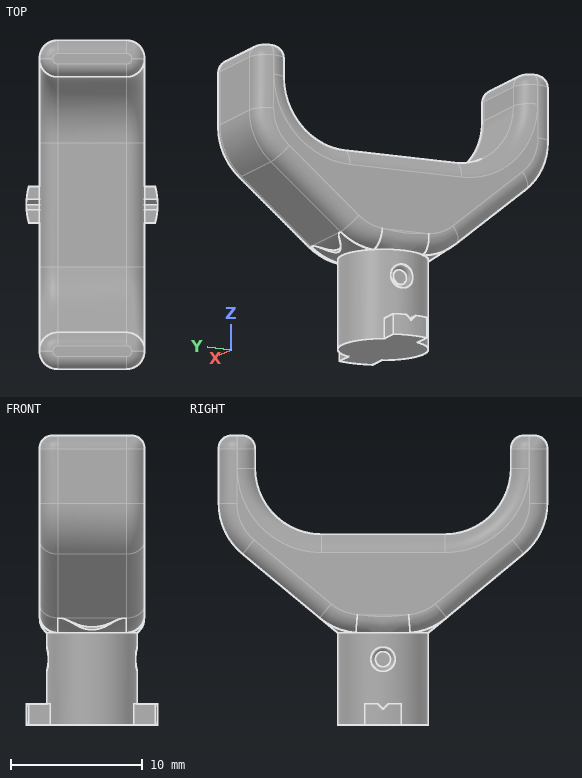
import cadquery as cq
import math

fork_span = 25.0
fork_width = 8.0
arm_thickness = 2.8
bend_radius = 5.0
cradle_floor_z = 14.5
total_height = 22.0
tip_round = 1.0
edge_round = arm_thickness / 2 - 0.012

stem_radius = 6.9 / 2
stem_height = 7.0

lug_reach = 5.0
lug_width = 2.8
lug_height = 1.6
notch_width = 0.8
notch_depth = 0.4

dimple_z = 5.0
dimple_radius = 0.58
dimple_round = 0.35
dimple_depth = 0.5
rim_sag = stem_radius - math.sqrt(stem_radius**2 - (dimple_radius + dimple_round) ** 2)

side_blend_half_length = 1.95
blend_steps = 4
blend_slices = 6
blend_top_z = 10.5


def make_fork_blank():
    """Fork with its bends, before its outer edges are rounded."""
    half_span = fork_span / 2
    inner_half_span = half_span - arm_thickness
    blank = (
        cq.Workplane("YZ")
        .polyline([
            (-stem_radius, stem_height),
            (stem_radius, stem_height),
            (half_span, cradle_floor_z),
            (half_span, total_height),
            (inner_half_span, total_height),
            (inner_half_span, cradle_floor_z),
            (-inner_half_span, cradle_floor_z),
            (-inner_half_span, total_height),
            (-half_span, total_height),
            (-half_span, cradle_floor_z),
        ])
        .close()
        .extrude(fork_width / 2, both=True)
    )
    above_base = stem_height + 0.25
    below_tips = total_height - 0.25
    bends = cq.selectors.BoxSelector(
        (-fork_width, -fork_span, above_base), (fork_width, fork_span, below_tips)
    )
    blank = blank.edges("|X").edges(bends).fillet(bend_radius)
    return blank.faces("<Z").edges("|X").fillet(bend_radius)


def make_fork():
    fork = make_fork_blank().faces("<X or >X").edges("not >Z").fillet(edge_round)
    return fork.faces(">Z").edges().fillet(tip_round)


def side_blend(side):
    """Tube following the edge round where it is pulled down to meet the rim of the stem.

    Its centre stays one edge round inside the side face and one edge round from the stem rim.
    """
    center_x = fork_width / 2 - edge_round
    points = []
    for step in range(-blend_steps, blend_steps + 1):
        y = side_blend_half_length * step / blend_steps
        rim_gap = stem_radius - math.hypot(center_x, y)
        points.append((side * center_x, y, stem_height + math.sqrt(edge_round**2 - rim_gap**2)))
    path = cq.Workplane("XY").spline(points)
    start = cq.Plane(origin=points[0], xDir=(1, 0, 0), normal=path.val().tangentAt(0))
    return cq.Workplane(start).circle(edge_round).sweep(path)


def slope_section(x):
    """Slice at x: an arc from the stem rim that runs tangent into the sloping underside."""
    rise = cradle_floor_z - stem_height
    slope = math.atan2(rise, fork_span / 2 - stem_radius)
    rim_y = math.sqrt(stem_radius**2 - x**2)
    setback = stem_radius - rim_y
    tangent_length = -setback * math.cos(slope) + math.sqrt(
        2 * bend_radius * setback * math.sin(slope) - (setback * math.sin(slope)) ** 2
    )
    tangent_y = stem_radius + tangent_length * math.cos(slope)
    tangent_z = stem_height + tangent_length * math.sin(slope)
    center_y = tangent_y - bend_radius * math.sin(slope)
    center_z = tangent_z + bend_radius * math.cos(slope)
    middle_angle = (slope + math.asin((rim_y - center_y) / bend_radius)) / 2
    middle = (
        center_y + bend_radius * math.sin(middle_angle),
        center_z - bend_radius * math.cos(middle_angle),
    )
    return (
        cq.Workplane("YZ", origin=(x, 0, 0))
        .moveTo(0, stem_height)
        .lineTo(rim_y, stem_height)
        .threePointArc(middle, (tangent_y, tangent_z))
        .lineTo(tangent_y, blend_top_z)
        .lineTo(0, blend_top_z)
        .close()
        .val()
    )


def slope_blend():
    """Blend from the stem rim into the slope on the +Y side."""
    half_width = fork_width / 2 - edge_round
    sections = []
    for index in range(blend_slices):
        x = half_width * (2 * index / (blend_slices - 1) - 1)
        sections.append(slope_section(x))
    return cq.Workplane(cq.Solid.makeLoft(sections))


def make_stem():
    stem = cq.Workplane("XY").circle(stem_radius).extrude(stem_height)
    for side in (-1, 1):
        stem = stem.cut(make_dimple(side))
    return stem


def make_lugs():
    bar = cq.Workplane("XY").box(2 * lug_reach, lug_width, lug_height, centered=(True, True, False))
    notch = (
        cq.Workplane("YZ")
        .polyline([
            (-notch_width / 2, lug_height),
            (notch_width / 2, lug_height),
            (0, lug_height - notch_depth),
        ])
        .close()
        .extrude(lug_reach, both=True)
    )
    rounded_ends = cq.Workplane("XY").circle(lug_reach).extrude(lug_height)
    return bar.cut(notch).intersect(rounded_ends)


def make_dimple(side):
    """Blind round hole with a rounded mouth, as a solid of revolution about X."""
    mouth_radius = dimple_radius + dimple_round
    return (
        cq.Workplane("XY")
        .moveTo(0, -dimple_depth)
        .lineTo(dimple_radius, -dimple_depth)
        .lineTo(dimple_radius, -dimple_round - rim_sag)
        .radiusArc((mouth_radius, -rim_sag), dimple_round)
        .lineTo(mouth_radius, dimple_round)
        .lineTo(0, dimple_round)
        .close()
        .revolve(360, (0, 0, 0), (0, 1, 0))
        .rotate((0, 0, 0), (0, 0, 1), -90 * side)
        .translate((side * stem_radius, 0, dimple_z))
    )


slope_filler = slope_blend()
result = make_fork().union(make_stem())
for side in (-1, 1):
    result = result.union(side_blend(side))
result = result.union(slope_filler).union(slope_filler.mirror("XZ"))
result = result.union(make_lugs())